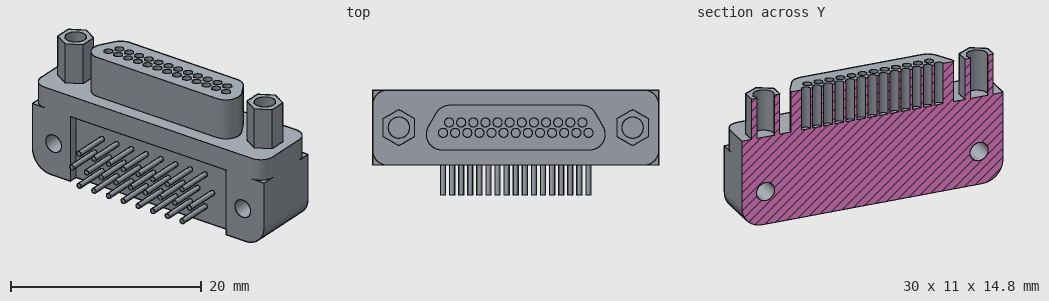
import cadquery as cq
import math


body_length = 30.01
body_depth = 7.87
body_height = 10.14
overall_depth = 11.01
overall_height = 14.78
flange_thickness = 2.44
flange_corner_radius = 1.57
bottom_corner_radius = 2.4
block_height = body_height - flange_thickness
front_y = -body_depth / 2

recess_length = 20.16
recess_depth = 1.0

mating_height = overall_height - body_height

shell_length = 18.75
shell_width = 4.7
shell_corner_radius = 1.65
shell_side_angle = 30.0

contact_pitch = 1.27
contact_row_spacing = 1.09
contact_diameter = 0.95
contact_depth = mating_height
front_contact_count = 13
back_contact_count = front_contact_count - 1

fixing_spacing = 24.5
jackpost_across_flats = 3.28
jackpost_bore = 2.24
mounting_hole_diameter = 2.03

tail_pitch = 1.905
tail_diameter = 0.56
tail_projection = overall_depth - body_depth
tail_middle_z = 3.79
middle_tail_count = 9
outer_tail_count = middle_tail_count - 1


def row(count, pitch, height):
    """Points of a row centred on X = 0 at the given second coordinate."""
    start = -(count - 1) * pitch / 2
    return [(start + i * pitch, height) for i in range(count)]


def make_housing():
    block = (
        cq.Workplane("XY")
        .box(body_length, body_depth, block_height, centered=(True, True, False))
        .edges("|Y and <Z")
        .fillet(bottom_corner_radius)
    )
    flange = (
        cq.Workplane("XY", origin=(0, 0, block_height))
        .box(body_length, body_depth, flange_thickness, centered=(True, True, False))
        .edges("|Z")
        .fillet(flange_corner_radius)
    )
    recess = (
        cq.Workplane("XY", origin=(0, front_y, 0))
        .box(recess_length, recess_depth, block_height, centered=(True, False, False))
    )
    return block.union(flange).cut(recess)


def make_shell():
    half_rise = shell_width / 2 - shell_corner_radius
    front_x = shell_length / 2 - shell_corner_radius
    back_x = front_x - 2 * half_rise * math.tan(math.radians(shell_side_angle))
    corner_centres = [
        (-front_x, -half_rise),
        (front_x, -half_rise),
        (back_x, half_rise),
        (-back_x, half_rise),
    ]
    return (
        cq.Workplane("XY", origin=(0, 0, body_height))
        .polyline(corner_centres)
        .close()
        .offset2D(shell_corner_radius)
        .extrude(mating_height)
    )


def make_contact_holes():
    front_row = row(front_contact_count, contact_pitch, -contact_row_spacing / 2)
    back_row = row(back_contact_count, contact_pitch, contact_row_spacing / 2)
    return (
        cq.Workplane("XY", origin=(0, 0, overall_height))
        .pushPoints(front_row + back_row)
        .circle(contact_diameter / 2)
        .extrude(-contact_depth)
    )


def make_jackposts():
    across_corners = jackpost_across_flats / math.cos(math.pi / 6)
    post = (
        cq.Workplane("XY")
        .polygon(6, across_corners)
        .circle(jackpost_bore / 2)
        .extrude(mating_height)
        .rotate((0, 0, 0), (0, 0, 1), 30)
    )
    left = post.translate((-fixing_spacing / 2, 0, body_height))
    right = post.translate((fixing_spacing / 2, 0, body_height))
    return left.union(right)


def make_mounting_holes():
    return (
        cq.Workplane("XZ", origin=(0, front_y, 0))
        .pushPoints(row(2, fixing_spacing, tail_middle_z))
        .circle(mounting_hole_diameter / 2)
        .extrude(-body_depth)
    )


def make_tails():
    points = row(middle_tail_count, tail_pitch, tail_middle_z)
    for side in (-1, 1):
        points += row(outer_tail_count, tail_pitch, tail_middle_z + side * tail_pitch)
    return (
        cq.Workplane("XZ", origin=(0, front_y + recess_depth, 0))
        .pushPoints(points)
        .circle(tail_diameter / 2)
        .extrude(recess_depth + tail_projection)
    )


result = (
    make_housing()
    .union(make_shell())
    .union(make_jackposts())
    .union(make_tails())
    .cut(make_contact_holes())
    .cut(make_mounting_holes())
)